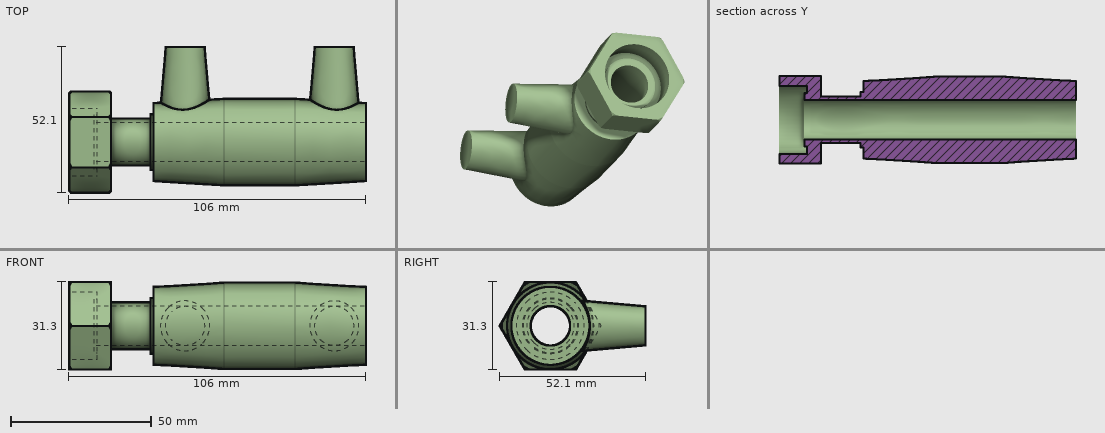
import cadquery as cq
import math

total_length = 106.0
body_length = 76.0
body_start = total_length - body_length

nut_length = 15.0
nut_across_flats = 31.33
nut_across_corners = nut_across_flats / math.cos(math.pi / 6)
corner_chamfer = 0.72
socket_diameter = 24.12
socket_depth = 9.9
seat_diameter = 19.29
seat_height = 1.0

neck_diameter = 16.88
collar_diameter = 20.0
collar_length = 1.0
bore_diameter = 14.0

body_diameter = 31.0
body_end_diameter = 27.9
taper_length = body_length / 3

handle_tip_diameter = 14.0
handle_root_diameter = 20.0
handle_reach = 34.0
handle_spacing = 53.2


def cylinder_along_x(diameter, start, end):
    return cq.Workplane("YZ", origin=(start, 0, 0)).circle(diameter / 2).extrude(end - start)


def revolve_about_x(profile):
    """Revolve a list of (x, radius) points around the X axis."""
    return cq.Workplane("XY").polyline(profile).close().revolve(360, (0, 0, 0), (1, 0, 0))


def make_nut():
    hexagon = cq.Workplane("YZ").polygon(6, nut_across_corners).extrude(nut_length)
    corner_radius = nut_across_corners / 2
    face_radius = corner_radius - corner_chamfer
    chamfer_envelope = revolve_about_x([
        (0, 0),
        (0, face_radius),
        (corner_chamfer, corner_radius),
        (nut_length - corner_chamfer, corner_radius),
        (nut_length, face_radius),
        (nut_length, 0),
    ])
    return hexagon.intersect(chamfer_envelope)


def make_body():
    body_radius = body_diameter / 2
    end_radius = body_end_diameter / 2
    return revolve_about_x([
        (body_start, 0),
        (body_start, end_radius),
        (body_start + taper_length, body_radius),
        (total_length - taper_length, body_radius),
        (total_length, end_radius),
        (total_length, 0),
    ])


def make_handle(x):
    cone = cq.Solid.makeCone(
        handle_root_diameter / 2,
        handle_tip_diameter / 2,
        handle_reach,
        pnt=cq.Vector(x, 0, 0),
        dir=cq.Vector(0, 1, 0),
    )
    return cq.Workplane(obj=cone)


collar_start = body_start - collar_length
body_middle = body_start + body_length / 2

result = make_nut()
result = result.union(cylinder_along_x(neck_diameter, nut_length / 2, collar_start))
result = result.union(cylinder_along_x(collar_diameter, collar_start, body_start))
result = result.union(make_body())
for side in (-1, 1):
    result = result.union(make_handle(body_middle + side * handle_spacing / 2))

result = result.cut(cylinder_along_x(socket_diameter, 0, socket_depth))
result = result.union(cylinder_along_x(seat_diameter, socket_depth - seat_height, socket_depth))
result = result.cut(cylinder_along_x(bore_diameter, 0, total_length))